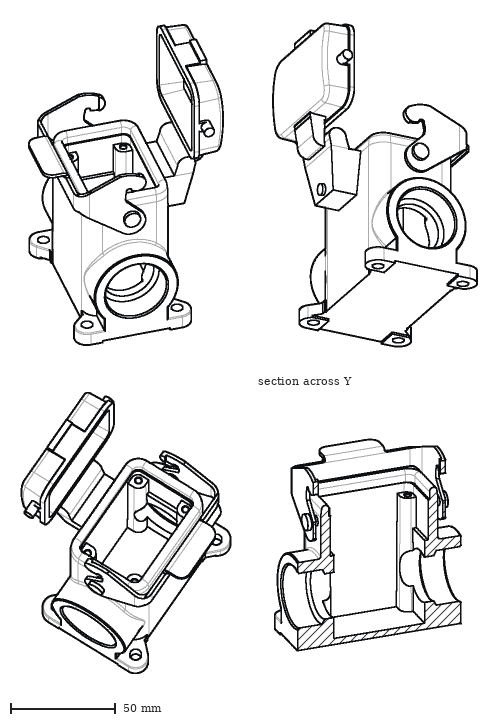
import cadquery as cq
import math


margin = 0.5

body_width, body_depth = 60.5, 43.1
body_corner = 8.0
body_bottom = 1.0
rim_base, rim_top = 69.2, 75.1
rim_round = 2.0
rim_centre_z = rim_top - rim_round
rim_inset = 0.5
opening_width = body_width - 2 * rim_inset - 4 * rim_round
opening_depth = body_depth - 2 * rim_inset - 4 * rim_round
opening_corner = body_corner - rim_inset - 2 * rim_round
opening_bottom = 69.0
cavity_width, cavity_depth = 50.0, 33.6
cavity_corner = 3.5
lower_cavity_top = 48.0
lower_cavity_width = 46.4
floor_top = 4.5

post_x, post_y = 22.1, 13.4
post_radius = 4.0
post_top = 64.0
post_taper = 0.4
post_bury = 1.0
post_hole, post_hole_mouth = 2.85, 3.5
post_hole_depth = 12.0
drill_point_half_angle = 59.0

overall_width = 84.0
half_width = overall_width / 2
entry_z = 27.2
entry_diameter = 42.0
entry_counterbore, entry_bore = 30.5, 26.0
entry_chamfer = 0.75
end_chamfer = 0.5
entry_root_round = 1.0
pedestal_width = 32.0
counterbore_end = 29.4
narrowing_length = 1.4
foot_half_depth = 29.05
foot_corner = 6.2
foot_top = 7.0
foot_edge_round = 0.5
foot_inner_x, foot_inner_y = 23.7, 22.0
foot_hole = 5.5
foot_hole_x, foot_hole_y = 35.0, 22.5
pad_inner_x, pad_inner_y = 29.9, 16.8

lever_half_width = 34.1
lever_sheet = 1.7
lever_bend = 6.0
lever_front = -27.2
band_bottom, band_top = 72.8, 82.2
pivot_z = 65.1
pivot_pin, pivot_head = 5.0, 8.0
pivot_head_x = 36.0
pin_bury = 1.0
tab_width = 30.6
tab_root_width = 32.6
tab_end = -37.3
tab_bottom, tab_top = 83.0, 84.7
tab_corner = 5.0
tab_bend_end = -28.6
tab_bend_middle = (-26.4, 84.0)
hook_lip_x = 31.3
hook_lip_top = 89.8
eye_front, eye_back = (-4.0, 56.8), (5.3, 67.4)
eye_through = (4.6, 57.3)
crest_front, crest_through = (-5.6, 90.8), (-0.5, 90.6)
hook_top, hook_tip, hook_bottom = (4.3, 88.9), (7.2, 84.2), (2.8, 80.7)
notch_entry, notch_top, notch_turn = (0.2, 81.2), (-0.6, 82.7), (-2.4, 81.0)
notch_through, notch_foot = (-3.0, 78.2), (-2.5, 75.2)

cover_z = 108.1
cover_width, cover_height = 60.4, 43.5
cover_corner = 8.0
cover_face, cover_flange_back = 32.65, 35.15
cover_back = 48.22
cover_back_radius = 90.0
cover_body_width, cover_body_height = 57.7, 42.4
cover_body_corner = 7.0
cover_taper = 2.8
cover_back_round = 2.0
cover_wall = 2.5
cover_opening_width, cover_opening_height = 51.9, 35.2
cover_opening_corner = 3.5
cover_opening_taper = 4.2
cover_pin = 5.0
cover_pin_y = 38.6
cover_pin_z = cover_z + 0.3
cover_pin_x = 35.1
rib_width = 17.0
rib_front, rib_back = 42.3, 45.5
rib_top = 131.1
rib_bury = 4.0
arm_pad_front = 37.4
arm_pad_bottom = 85.5

hinge_width = 28.6
hinge_foot_width = 19.6
hinge_top, hinge_bottom = 69.8, 48.6
hinge_back_top, hinge_back_bottom = 37.2, 34.0
neck_front = 27.6
hinge_bury = 1.0
knuckle_y, knuckle_z = 33.7, 75.1
knuckle_radius = 4.5
arm_front, arm_back = 37.9, 45.7
arm_heel, arm_heel_through, arm_toe = (44.0, 76.5), (42.7, 73.0), (39.5, 71.5)
screw_z, screw_head, screw_height = 52.8, 5.6, 1.5


def box(x0, x1, y0, y1, z0, z1):
    """Box between two opposite corners."""
    return cq.Workplane("XY").box(x1 - x0, y1 - y0, z1 - z0, centered=False).translate((x0, y0, z0))


def rounded_block(width, depth, corner, z0, z1, taper=0):
    """Upright block centred on the Z axis with rounded vertical edges."""
    outline = cq.Sketch().rect(width, depth).vertices().fillet(corner)
    return cq.Workplane("XY").workplane(offset=z0).placeSketch(outline).extrude(z1 - z0, taper=taper)


def x_cylinder(diameter, x0, x1, y, z):
    """Cylinder parallel to the X axis."""
    return cq.Workplane("YZ", origin=(x0, 0, 0)).center(y, z).circle(diameter / 2).extrude(x1 - x0)


def x_cone(diameter0, diameter1, x0, x1, z):
    """Truncated cone in the Y = 0 plane and parallel to the X axis."""
    cone = cq.Solid.makeCone(
        diameter0 / 2, diameter1 / 2, x1 - x0, pnt=cq.Vector(x0, 0, z), dir=cq.Vector(1, 0, 0))
    return cq.Workplane(cone)


def cover_block(width, height, corner, y0, y1, taper=0):
    """Block on the cover axis, growing from y0 toward +Y."""
    outline = cq.Sketch().rect(width, height).vertices().fillet(corner)
    plane = cq.Plane(origin=(0, y0, cover_z), xDir=(1, 0, 0), normal=(0, 1, 0))
    return cq.Workplane(plane).placeSketch(outline).extrude(y1 - y0, taper=taper)


def both_sides(shape):
    """Shape together with its mirror image in the X = 0 plane."""
    return shape.union(shape.mirror("YZ"))


def all_corners(shape):
    """Shape copied to the four quadrants of the XY plane."""
    pair = both_sides(shape)
    return pair.union(pair.mirror("XZ"))


def foot_plate():
    """One mounting plate on the +X side, with an ear at each end."""
    slant = foot_corner * math.sqrt(0.5)
    arc_side = foot_corner * math.sin(math.pi / 8)
    arc_rise = foot_corner * math.cos(math.pi / 8)
    ear_x = half_width - foot_corner
    ear_y = foot_half_depth - foot_corner
    slant_start_x = ear_x - slant
    slant_start_y = ear_y + slant
    slant_end_x = slant_start_x - (slant_start_y - foot_inner_y)
    plate = (
        cq.Workplane("XY").workplane(offset=body_bottom)
        .moveTo(foot_inner_x, foot_inner_y)
        .lineTo(slant_end_x, foot_inner_y)
        .lineTo(slant_start_x, slant_start_y)
        .threePointArc((ear_x - arc_side, ear_y + arc_rise), (ear_x, foot_half_depth))
        .threePointArc((ear_x + slant, ear_y + slant), (half_width, ear_y))
        .lineTo(half_width, 0)
        .lineTo(foot_inner_x, 0)
        .close()
        .extrude(foot_top - body_bottom)
    )
    pad = plate.intersect(
        box(pad_inner_x, half_width, pad_inner_y, foot_half_depth, body_bottom, foot_top)
    ).translate((0, 0, -body_bottom))
    rounded_ends = cq.selectors.BoxSelector(
        (slant_end_x, foot_inner_y, body_bottom),
        (half_width + margin, foot_half_depth + margin, foot_top + margin))
    plate = plate.faces(">Z").edges(rounded_ends).fillet(foot_edge_round).union(pad)
    return plate.union(plate.mirror("XZ"))


def round_entry_roots(body):
    """Round the corners where the cable entries run into the body."""
    near_x = body_width / 2 - body_corner
    far_x = body_width / 2 + margin
    roots = cq.selectors.BoxSelector(
        (near_x, -body_depth, body_bottom + margin), (far_x, body_depth, rim_base - margin))
    roots = roots + cq.selectors.BoxSelector(
        (-far_x, -body_depth, body_bottom + margin), (-near_x, body_depth, rim_base - margin))
    return body.edges(roots).edges("not |Z").fillet(entry_root_round)


def rim_bead():
    """Half-round bead that tops the housing wall."""
    ring = rounded_block(opening_width + 2 * rim_round, opening_depth + 2 * rim_round,
                         opening_corner + rim_round, rim_centre_z, rim_top)
    path = ring.faces("<Z").wires()
    start = path.val().startPoint()
    along = path.val().tangentAt(0)
    section = (
        cq.Workplane(cq.Plane(origin=start, xDir=cq.Vector(0, 0, 1).cross(along), normal=along))
        .moveTo(-rim_round, 0)
        .threePointArc((0, rim_round), (rim_round, 0))
        .close()
    )
    return section.sweep(path)


def housing_outside():
    body = rounded_block(body_width, body_depth, body_corner, body_bottom, rim_centre_z)
    body = body.faces(">Z").edges().chamfer(rim_centre_z - rim_base, rim_inset)
    entry = x_cylinder(entry_diameter, 0, half_width, 0, entry_z)
    body = body.union(both_sides(entry.faces(">X").chamfer(end_chamfer)))
    body = round_entry_roots(body)
    pedestal = box(0, half_width, -pedestal_width / 2, pedestal_width / 2, body_bottom, entry_z)
    body = body.union(both_sides(pedestal.edges(">X and |Z").chamfer(end_chamfer)))
    return body.union(both_sides(foot_plate()))


def housing_cavity():
    opening = rounded_block(opening_width, opening_depth, opening_corner, opening_bottom, rim_top)
    middle = rounded_block(cavity_width, cavity_depth, cavity_corner, lower_cavity_top, opening_bottom)
    lower = rounded_block(lower_cavity_width, cavity_depth, cavity_corner, floor_top, lower_cavity_top)
    return opening.union(middle).union(lower)


def screw_posts():
    """Corner posts, each a round column squared off into the corner of the cavity."""
    inner_x = post_x - post_radius
    inner_y = post_y - post_radius
    diagonal = post_radius * math.sqrt(0.5)
    post = (
        cq.Workplane("XY").workplane(offset=post_top)
        .moveTo(inner_x, opening_depth / 2)
        .lineTo(inner_x, post_y)
        .threePointArc((post_x - diagonal, post_y - diagonal), (post_x, inner_y))
        .lineTo(opening_width / 2, inner_y)
        .lineTo(opening_width / 2, opening_depth / 2)
        .close()
        .extrude(floor_top - post_top, taper=-post_taper)
    )
    inside = rounded_block(
        cavity_width + post_bury, cavity_depth + post_bury, cavity_corner, floor_top, post_top)
    return all_corners(post.intersect(inside))


def screw_hole():
    """Blind post hole with a countersunk mouth and a drill point."""
    radius = post_hole / 2
    mouth = post_hole_mouth / 2
    mouth_depth = mouth - radius
    point = radius / math.tan(math.radians(drill_point_half_angle))
    profile = [(0, 0), (mouth, 0), (radius, -mouth_depth), (radius, -post_hole_depth),
               (0, -post_hole_depth - point)]
    hole = cq.Workplane("XZ").polyline(profile).close().revolve(360, (0, 0, 0), (0, 1, 0))
    return hole.translate((post_x, post_y, post_top))


def housing():
    body = housing_outside().cut(housing_cavity())
    body = body.union(rim_bead())
    body = body.union(screw_posts()).cut(all_corners(screw_hole()))
    body = body.cut(x_cylinder(entry_bore, -half_width, half_width, 0, entry_z))
    counterbore = x_cylinder(entry_counterbore, counterbore_end, half_width, 0, entry_z)
    step = x_cone(entry_bore, entry_counterbore, counterbore_end - narrowing_length, counterbore_end, entry_z)
    mouth_diameter = entry_counterbore + 2 * entry_chamfer
    mouth = x_cone(entry_counterbore, mouth_diameter, half_width - entry_chamfer, half_width, entry_z)
    body = body.cut(both_sides(counterbore.union(step).union(mouth)))
    holes = cq.Workplane("XY").circle(foot_hole / 2).extrude(foot_top)
    holes = holes.translate((foot_hole_x, foot_hole_y, 0))
    return body.cut(all_corners(holes))


def lever():
    """Bent sheet lever: the side outline is kept only where the U-shaped sheet runs."""
    back = lever_front + lever_sheet
    outline = (
        cq.Workplane("YZ")
        .moveTo(*eye_front)
        .lineTo(back, band_bottom)
        .lineTo(lever_front, band_bottom)
        .lineTo(lever_front, band_top)
        .lineTo(back, band_top)
        .lineTo(*crest_front)
        .threePointArc(crest_through, hook_top)
        .threePointArc(hook_tip, hook_bottom)
        .lineTo(*notch_entry)
        .threePointArc(notch_top, notch_turn)
        .threePointArc(notch_through, notch_foot)
        .lineTo(*eye_back)
        .threePointArc(eye_through, eye_front)
        .close()
        .extrude(lever_half_width, both=True)
    )
    hook_reach = hook_tip[0] + lever_sheet
    inner_half = lever_half_width - lever_sheet
    depth = 2 * -lever_front
    sheet = rounded_block(2 * lever_half_width, depth, lever_bend, 0, rib_top)
    sheet = sheet.cut(rounded_block(
        2 * inner_half, depth - 2 * lever_sheet, lever_bend - lever_sheet, 0, rib_top))
    lip = outline.intersect(box(
        hook_lip_x, lever_half_width, hook_top[0], hook_reach, band_bottom, hook_lip_top))
    return outline.intersect(sheet).union(both_sides(lip))


def thumb_tab():
    back = lever_front + lever_sheet
    side = (
        cq.Workplane("YZ")
        .moveTo(back, band_top)
        .threePointArc(tab_bend_middle, (tab_bend_end, tab_top))
        .lineTo(tab_end, tab_top)
        .lineTo(tab_end, tab_bottom)
        .lineTo(tab_bend_end, tab_bottom)
        .lineTo(lever_front, band_top)
        .close()
        .extrude(tab_root_width / 2, both=True)
    )
    root_half = tab_root_width / 2
    tab_half = tab_width / 2
    face = (
        cq.Workplane("XZ")
        .polyline([(-root_half, band_top), (root_half, band_top), (tab_half, tab_bottom), (tab_half, tab_top),
                   (-tab_half, tab_top), (-tab_half, tab_bottom)])
        .close()
        .extrude(-tab_end)
    )
    return side.intersect(face).edges("|Z and <Y").fillet(tab_corner)


def pivots():
    pin = x_cylinder(pivot_pin, body_width / 2 - pin_bury, pivot_head_x, 0, pivot_z)
    head = x_cylinder(pivot_head, lever_half_width - lever_sheet / 2, pivot_head_x, 0, pivot_z)
    return both_sides(pin.union(head))


def cover():
    back_axis = cover_back - cover_back_radius
    reach = cover_width
    dome = x_cylinder(2 * cover_back_radius, -reach, reach, back_axis, cover_z)
    inner_dome = x_cylinder(2 * (cover_back_radius - cover_wall), -reach, reach, back_axis, cover_z)
    shell = cover_block(cover_body_width, cover_body_height, cover_body_corner, cover_face, cover_back,
                        cover_taper).intersect(dome)
    shell = shell.faces(">Y").edges().fillet(cover_back_round)
    flange = cover_block(cover_width, cover_height, cover_corner, cover_face, cover_flange_back)
    half_rib = rib_width / 2
    cover_top = cover_z + cover_height / 2
    flush_pad = box(-half_rib, half_rib, cover_face, rib_front, cover_top - rib_bury, cover_top)
    rib = box(-half_rib, half_rib, rib_front, rib_back, cover_top - rib_bury, rib_top)
    arm_pad = box(-half_rib, half_rib, arm_pad_front, rib_back, arm_pad_bottom, arm_pad_bottom + rib_bury)
    pin = x_cylinder(cover_pin, cover_opening_width / 2, cover_pin_x, cover_pin_y, cover_pin_z)
    pin_seat = box(cover_opening_width / 2, cover_width / 2, cover_face, cover_pin_y,
                   cover_pin_z - cover_pin / 2, cover_pin_z + cover_pin / 2)
    solid = shell.union(flange).union(flush_pad).union(rib).union(arm_pad)
    solid = solid.union(both_sides(pin.union(pin_seat)))
    hollow = cover_block(cover_opening_width, cover_opening_height, cover_opening_corner, cover_face,
                         cover_back, cover_opening_taper).intersect(inner_dome)
    return solid.cut(hollow)


def hinge_bracket():
    """Bracket on the back of the housing, narrowing downward, with the knuckle on top."""
    wall = body_depth / 2 - hinge_bury
    side = (
        cq.Workplane("YZ")
        .polyline([(wall, hinge_top), (hinge_back_top, hinge_top),
                   (hinge_back_bottom, hinge_bottom), (wall, hinge_bottom)])
        .close()
        .extrude(hinge_width / 2, both=True)
    )
    narrowing = (
        cq.Workplane("XZ")
        .polyline([(-hinge_width / 2, hinge_top), (hinge_width / 2, hinge_top),
                   (hinge_foot_width / 2, hinge_bottom), (-hinge_foot_width / 2, hinge_bottom)])
        .close()
        .extrude(-hinge_back_top)
    )
    knuckle = x_cylinder(2 * knuckle_radius, -hinge_width / 2, hinge_width / 2, knuckle_y, knuckle_z)
    neck = (
        cq.Workplane("YZ")
        .polyline([(knuckle_y - knuckle_radius, knuckle_z), (neck_front, hinge_top),
                   (hinge_back_top, hinge_top), (knuckle_y + knuckle_radius, knuckle_z)])
        .close()
        .extrude(hinge_width / 2, both=True)
    )
    return side.intersect(narrowing).union(knuckle).union(neck)


def bracket_screw():
    slope = (hinge_back_top - hinge_back_bottom) / (hinge_top - hinge_bottom)
    tilt = math.degrees(math.atan(slope))
    back_y = hinge_back_bottom + slope * (screw_z - hinge_bottom)
    head = cq.Workplane("XZ").circle(screw_head / 2).extrude(-2 * screw_height)
    head = head.translate((0, -screw_height, 0)).rotate((0, 0, 0), (1, 0, 0), -tilt)
    return head.translate((0, back_y, screw_z))


def hinge_arm():
    """Arm below the cover that reaches down to the knuckle."""
    arm_top = arm_pad_bottom + rib_bury / 2
    return (
        cq.Workplane("YZ")
        .moveTo(arm_front, arm_top)
        .lineTo(arm_back, arm_top)
        .lineTo(*arm_heel)
        .threePointArc(arm_heel_through, arm_toe)
        .lineTo(arm_front, arm_toe[1])
        .close()
        .extrude(rib_width / 2, both=True)
    )


result = housing()
for piece in (pivots(), lever(), thumb_tab(), hinge_bracket(), bracket_screw(), hinge_arm(), cover()):
    result = result.union(piece)